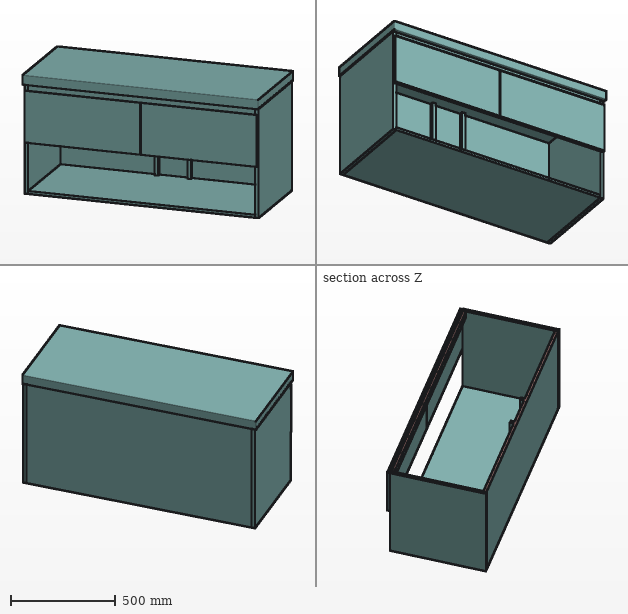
import cadquery as cq

width = 1200.0
depth = 500.0
height = 600.0

top_thickness = 48.0
top_overhang = 5.0
top_edge_radius = 1.0

board = 18.0
floor_thickness = 15.0
back_thickness = 18.0
rail_height = 72.0
carcass_front = 19.0
carcass_height = height - top_thickness
carcass_width = width - 2 * top_overhang
carcass_depth = depth - carcass_front
inner_left = top_overhang + board
inner_width = carcass_width - 2 * board

batten_spacing = 167.0
batten_depth = 18.0

drawer_bottom = 262.0
drawer_height = 260.0
drawer_side_reveal = 4.0
drawer_gap = 5.0
drawer_thickness = 15.0
grip_bevel = 12.0
drawer_width = (carcass_width - 2 * drawer_side_reveal - drawer_gap) / 2


def block(x, y, z, x_size, y_size, z_size):
    """Box with its minimum corner at (x, y, z)."""
    return cq.Workplane("XY").box(x_size, y_size, z_size, centered=False).translate((x, y, z))


def make_countertop():
    """Slab with the edges of its front and back faces slightly rounded."""
    slab = block(0, 0, carcass_height, width, depth, top_thickness)
    return slab.faces("<Y or >Y").edges().fillet(top_edge_radius)


def make_side_panel(x):
    return block(x, carcass_front, 0, board, carcass_depth, carcass_height)


def make_floor_and_back():
    """Floor and back joined in an L, with two battens standing in the corner."""
    back_front = depth - back_thickness
    body = block(inner_left, carcass_front, 0, inner_width, carcass_depth, floor_thickness)
    body = body.union(block(inner_left, back_front, 0, inner_width, back_thickness, carcass_height))
    for side in (-1, 1):
        batten_left = width / 2 + side * batten_spacing / 2 - board / 2
        body = body.union(
            block(batten_left, back_front - batten_depth, 0, board, batten_depth, carcass_height)
        )
    return body


def make_front_rail():
    return block(inner_left, carcass_front, carcass_height - rail_height, inner_width, board, rail_height)


def make_drawer_front(x):
    """Drawer front with a 45 degree bevel along its top rear edge as a finger grip."""
    front = carcass_front - drawer_thickness
    drawer_top = drawer_bottom + drawer_height
    profile = [
        (front, drawer_bottom),
        (carcass_front, drawer_bottom),
        (carcass_front, drawer_top - grip_bevel),
        (carcass_front - grip_bevel, drawer_top),
        (front, drawer_top),
    ]
    return cq.Workplane("YZ").polyline(profile).close().extrude(drawer_width).translate((x, 0, 0))


countertop = make_countertop()
side_panels = [make_side_panel(x) for x in (top_overhang, width - top_overhang - board)]
floor_and_back = make_floor_and_back()
front_rail = make_front_rail()
first_drawer_left = top_overhang + drawer_side_reveal
drawer_fronts = [make_drawer_front(first_drawer_left + i * (drawer_width + drawer_gap)) for i in range(2)]

result = cq.Compound.makeCompound([
    countertop.val(),
    *[panel.val() for panel in side_panels],
    floor_and_back.val(),
    front_rail.val(),
    *[drawer.val() for drawer in drawer_fronts],
])